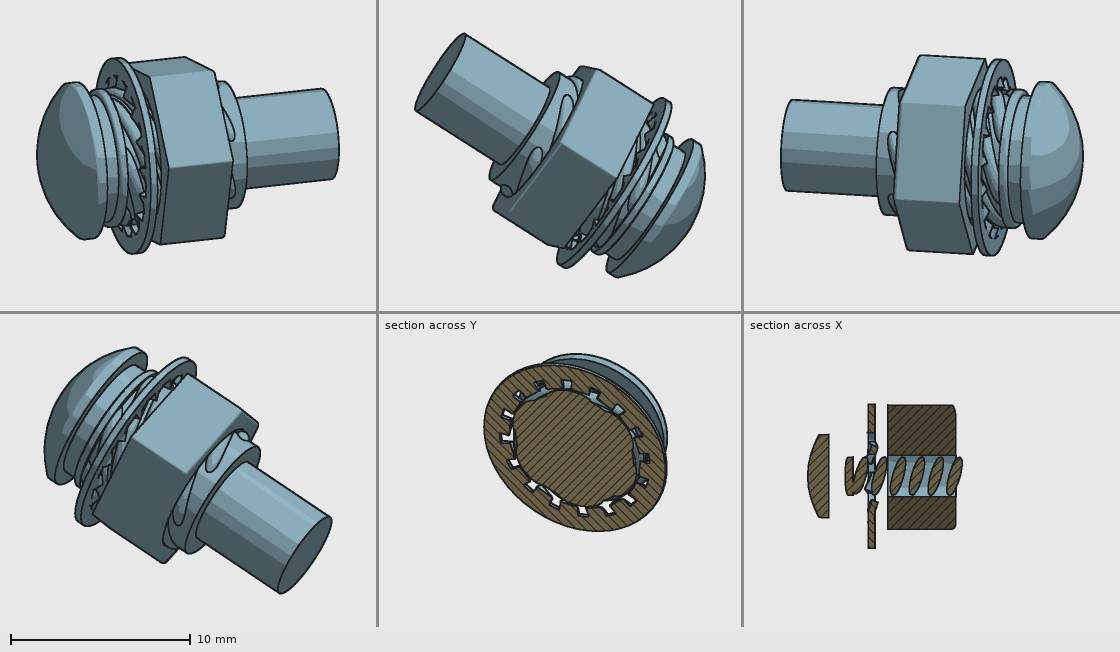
import cadquery as cq
import math


head_radius = 4.4
head_fillet = 0.15
dome_height = 1.99
head_rear_y = 2.54
ring_radius = 3.88
ring_front_y = 3.43
ring_rear_y = 3.9
ring_fillet = 0.2
shank_radius = 3.56
shank_rear_y = 10.93

ridge_starts = 6
ridge_radius = 0.4
ridge_height = ring_radius - shank_radius
ridge_centre_radius = ring_radius - ridge_radius
ridge_lead = 6.3
ridge_front_y = 4.13
ridge_rear_y = 9.78
ridge_sweep_angle = 360 * (ridge_rear_y - ridge_front_y) / ridge_lead
ridge_turn = -9.6
ridge_runout_angle = 20.0
ridge_runout_steps = 4

pin_radius = 2.55
pin_rear_y = 16.58

nut_flats = 9.5
nut_front_y = 5.82
nut_rear_y = 9.63
nut_turn = 12.4
nut_corner_fillet = 0.13
nut_rear_fillet = 0.25
nut_clearance = 0.02

washer_radius = 5.49
washer_inner_radius = 4.53
washer_front_y = 4.73
washer_thickness = 0.4
tooth_count = 16
tooth_angle_width = 15.0
tooth_turn = 4.8
tooth_twist_radius = 4.51
tooth_tip_radius = 3.91
tooth_twist = 24.0
tooth_root_overlap = 0.03


def disc(radius, front_y, rear_y):
    """Solid cylinder on the Y axis between two Y positions."""
    front = cq.Workplane("XZ", origin=(0, front_y, 0))
    return front.circle(radius).extrude(front_y - rear_y)


def make_head():
    """Rim with a spherical dome on its front, the edge between them rounded."""
    dome_radius = (head_radius**2 + dome_height**2) / (2 * dome_height)
    half_angle = math.asin(head_radius / dome_radius) / 2
    middle = (dome_radius * math.sin(half_angle), dome_radius * (1 - math.cos(half_angle)))
    head = (
        cq.Workplane("XY")
        .moveTo(0, 0)
        .threePointArc(middle, (head_radius, dome_height))
        .lineTo(head_radius, head_rear_y)
        .lineTo(0, head_rear_y)
        .close()
        .revolve(360, (0, 0), (0, 1))
    )
    rim_edge = cq.selectors.BoxSelector(
        (-head_radius - 0.17, dome_height - 0.17, -head_radius - 0.17),
        (head_radius + 0.17, dome_height + 0.17, head_radius + 0.17),
        boundingbox=True,
    )
    return head.edges(rim_edge).fillet(head_fillet)


def ridge_point(angle):
    """Centre of a ridge whose axis is Z; past either end it sinks into the shank."""
    past = max(-angle, angle - ridge_sweep_angle, 0)
    radius = ridge_centre_radius - ridge_height * (past / ridge_runout_angle)**2
    turn = math.radians(angle)
    return cq.Vector(radius * math.cos(turn), radius * math.sin(turn), ridge_lead * angle / 360)


def ridge_section(angle, direction):
    """Round ridge section, square to the helix."""
    turn = math.radians(angle)
    rise = ridge_lead / (2 * math.pi * ridge_centre_radius)
    along = cq.Vector(-math.sin(turn), math.cos(turn), rise) * direction
    return cq.Workplane(cq.Plane(origin=ridge_point(angle), normal=along)).circle(ridge_radius)


def make_runout(end_angle, direction):
    """End of a ridge that dives below the shank surface."""
    step = direction * ridge_runout_angle / ridge_runout_steps
    points = [ridge_point(end_angle + step * i) for i in range(ridge_runout_steps + 1)]
    spine = cq.Edge.makeSpline(points)
    path = cq.Workplane(obj=cq.Wire.assembleEdges([spine]))
    return ridge_section(end_angle, direction).sweep(path)


def make_ridge():
    """Helical bar around Z with a run-out at each end, then laid along the Y axis."""
    helix = cq.Wire.makeHelix(ridge_lead, ridge_rear_y - ridge_front_y, ridge_centre_radius)
    bar = ridge_section(0, 1).sweep(cq.Workplane(obj=helix), isFrenet=True)
    ridge = bar.union(make_runout(0, -1)).union(make_runout(ridge_sweep_angle, 1))
    return ridge.rotate((0, 0, 0), (1, 0, 0), -90).translate((0, ridge_front_y, 0))


def make_housing():
    ring = disc(ring_radius, ring_front_y, ring_rear_y).faces("<Y").edges().fillet(ring_fillet)
    shank = disc(shank_radius, head_rear_y, shank_rear_y)
    ridge = make_ridge().val()
    ridges = []
    for i in range(ridge_starts):
        turn = ridge_turn + 360 / ridge_starts * i
        ridges.append(ridge.rotate(cq.Vector(0, 0, 0), cq.Vector(0, 1, 0), turn))
    threaded_shank = cq.Workplane(obj=shank.val().fuse(*ridges))
    return threaded_shank.union(ring, clean=False).union(make_head(), clean=False)


def make_pin():
    return disc(pin_radius, shank_rear_y, pin_rear_y)


def make_nut():
    across_corners = nut_flats / math.cos(math.radians(30))
    nut = (
        cq.Workplane("XZ", origin=(0, nut_front_y, 0))
        .polygon(6, across_corners)
        .extrude(nut_front_y - nut_rear_y)
        .edges("|Y")
        .fillet(nut_corner_fillet)
        .faces(">Y")
        .edges()
        .fillet(nut_rear_fillet)
        .rotate((0, 0, 0), (0, 1, 0), -nut_turn)
    )
    return nut.cut(disc(ring_radius + nut_clearance, nut_front_y, nut_rear_y))


def make_tooth():
    """Tooth pointing inward from +X: a flat root, then a blade twisting toward its tip."""
    middle_y = washer_front_y + washer_thickness / 2
    half_angle = math.radians(tooth_angle_width / 2)
    root_width = 2 * washer_inner_radius * math.sin(half_angle)
    tip_width = 2 * tooth_tip_radius * math.sin(half_angle)
    root = (
        cq.Workplane("YZ", origin=(tooth_twist_radius, middle_y, 0))
        .rect(washer_thickness, root_width)
        .extrude(washer_inner_radius + tooth_root_overlap - tooth_twist_radius)
    )
    blade = (
        cq.Workplane("YZ", origin=(tooth_twist_radius, middle_y, 0))
        .rect(washer_thickness, root_width)
        .workplane(offset=tooth_tip_radius - tooth_twist_radius)
        .transformed(rotate=(0, 0, tooth_twist))
        .rect(washer_thickness, tip_width)
        .loft(ruled=True)
    )
    return root.union(blade)


def make_washer():
    rear_y = washer_front_y + washer_thickness
    ring = disc(washer_radius, washer_front_y, rear_y)
    ring = ring.cut(disc(washer_inner_radius, washer_front_y, rear_y))
    tooth = make_tooth().val()
    teeth = []
    for i in range(tooth_count):
        turn = tooth_turn + 360 / tooth_count * i
        teeth.append(tooth.rotate(cq.Vector(0, 0, 0), cq.Vector(0, 1, 0), -turn))
    return cq.Workplane(obj=ring.val().fuse(*teeth)).clean()


housing = make_housing()
pin = make_pin()
nut = make_nut()
washer = make_washer()

result = cq.Compound.makeCompound([
    *housing.solids().vals(),
    pin.val(),
    nut.val(),
    *washer.solids().vals(),
])